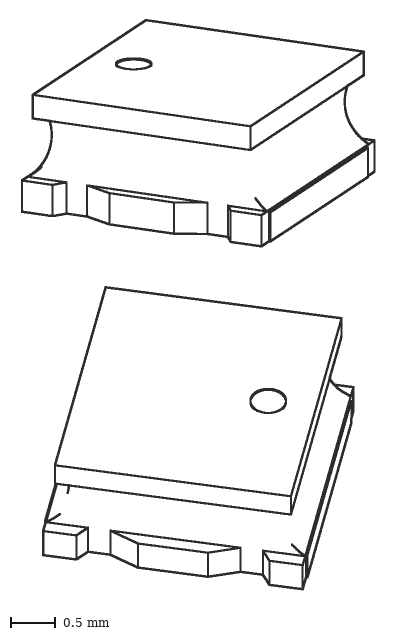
import cadquery as cq

BASE_LENGTH = 2.97
FLANGE_WIDTH = 3.0
BASE_THICKNESS = 0.37
NOTCH_DEPTH = 0.15
NOTCH_OUTER_X = 1.105
NOTCH_SHOULDER_X = 1.0
TAB_ROOT_X = 0.745
TAB_TIP_X = 0.4

OVERALL_LENGTH = 3.0
TERMINAL_WIDTH = 2.59
TERMINAL_HEIGHT = 0.345

TOTAL_HEIGHT = 1.4
TOP_LENGTH = 2.7
TOP_THICKNESS = 0.28
TOP_BOTTOM_Z = TOTAL_HEIGHT - TOP_THICKNESS

MARK_DIAMETER = 0.4
MARK_X = -0.8
MARK_DEPTH = 0.015

NECK_SECTIONS = [
    (BASE_THICKNESS, BASE_LENGTH / 2, FLANGE_WIDTH / 2 - NOTCH_DEPTH, 0.005),
    (0.54, 1.325, 1.315, 0.04),
    (0.8, 1.252, 1.304, 0.11),
    (TOP_BOTTOM_Z, 1.297, 1.35, 0.14),
]


def base_flange():
    """Flange whose front and back edges each have two notches around a tapered tab."""
    edge_y = FLANGE_WIDTH / 2
    floor_y = edge_y - NOTCH_DEPTH
    right_half_edge = [
        (TAB_TIP_X, edge_y),
        (TAB_ROOT_X, floor_y),
        (NOTCH_SHOULDER_X, floor_y),
        (NOTCH_OUTER_X, edge_y),
        (BASE_LENGTH / 2, edge_y),
    ]
    back_edge = [(-x, y) for x, y in reversed(right_half_edge)] + right_half_edge
    front_edge = [(-x, -y) for x, y in back_edge]
    return cq.Workplane("XY").polyline(back_edge + front_edge).close().extrude(BASE_THICKNESS)


def terminals():
    """One bar through the base that stands proud of both X ends."""
    return cq.Workplane("XY").box(
        OVERALL_LENGTH, TERMINAL_WIDTH, TERMINAL_HEIGHT, centered=(True, True, False)
    )


def rounded_section(height, half_length, half_width, radius):
    """Closed horizontal outline: a rectangle with rounded corners."""
    sketch = cq.Sketch().rect(2 * half_length, 2 * half_width).vertices().fillet(radius)
    return sketch.moved(cq.Location(cq.Vector(0, 0, height)))


def neck():
    """Smooth loft from a sharp-cornered foot through a narrow waist to a rounded top."""
    sections = [rounded_section(*section) for section in NECK_SECTIONS]
    return cq.Workplane("XY").placeSketch(*sections).loft()


def top_flange():
    return (
        cq.Workplane("XY")
        .workplane(offset=TOP_BOTTOM_Z)
        .rect(TOP_LENGTH, FLANGE_WIDTH)
        .extrude(TOP_THICKNESS)
    )


def polarity_mark():
    return (
        cq.Workplane("XY")
        .workplane(offset=TOTAL_HEIGHT - MARK_DEPTH)
        .center(MARK_X, 0)
        .circle(MARK_DIAMETER / 2)
        .extrude(MARK_DEPTH)
    )


result = base_flange().union(terminals()).union(neck()).union(top_flange()).cut(polarity_mark())